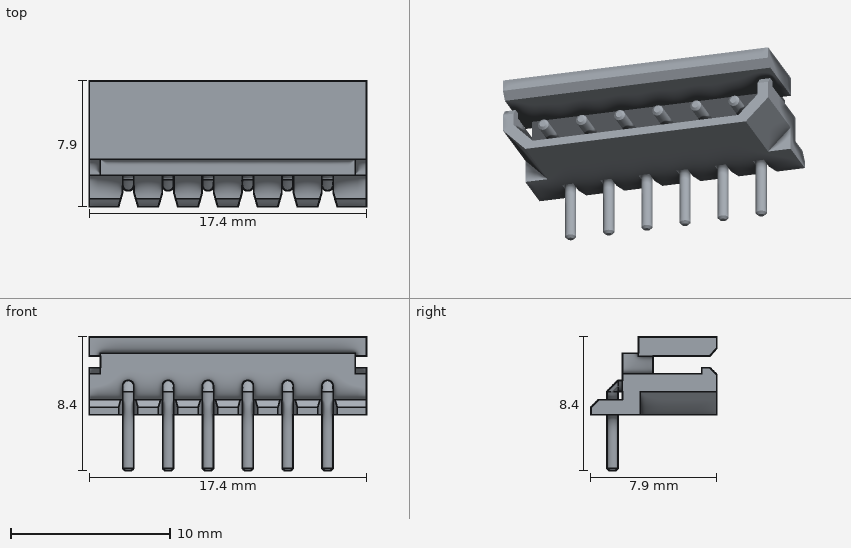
import cadquery as cq
import math


pin_count = 6
pitch = 2.5
pin_diameter = 0.7
pin_radius = pin_diameter / 2
pin_tip_chamfer = 0.15
pin_drop = 3.5
pin_tail_y = 1.35
pin_contact_z = 1.82
pin_setback = 0.5

end_margin = 2.45
width = (pin_count - 1) * pitch + 2 * end_margin
depth = 7.9
height = 4.9

wall_front_y = 1.97
foot_height = 0.97
foot_chamfer = 0.49
foot_slot_width = 0.72
foot_slot_mouth = 1.22
foot_slot_taper = 0.87

side_wall = 0.7
side_wall_top = 2.6
lip_top = 2.97
lip_length = 0.95
mouth_chamfer = 0.44

block_back_y = 3.9
block_top = 3.88
roof_front_y = 2.98
roof_bottom = 3.69
roof_chamfer_height = 0.5

floor_thickness = 0.5
corner_chamfer = 1.47
corner_chamfer_start_y = 3.08

pin_positions = [(i - (pin_count - 1) / 2) * pitch for i in range(pin_count)]


def extrude_side_profile(points):
    """Extrude a (Y, Z) outline over the full width of the shroud."""
    return cq.Workplane("YZ").polyline(points).close().extrude(width / 2, both=True)


def prism_along_y(points, start_y, end_y):
    """Extrude an (X, Z) outline between two Y positions."""
    plane = cq.Workplane("XZ", origin=(0, start_y, 0))
    return plane.polyline(points).close().extrude(start_y - end_y)


def make_base():
    """Lower shroud with feet, front wall and the catch lip at the mouth."""
    return extrude_side_profile([
        (0, 0),
        (0, foot_height - foot_chamfer),
        (foot_chamfer, foot_height),
        (wall_front_y, foot_height),
        (wall_front_y, side_wall_top),
        (depth - lip_length, side_wall_top),
        (depth - lip_length, lip_top),
        (depth - mouth_chamfer, lip_top),
        (depth, lip_top - mouth_chamfer),
        (depth, 0),
    ])


def make_block():
    """Upper part of the front wall, which carries the roof between the end slots."""
    block_width = width - 2 * side_wall
    block_depth = block_back_y - wall_front_y
    block = cq.Workplane("XY").box(
        block_width, block_depth, block_top - side_wall_top, centered=(True, False, False)
    )
    return block.translate((0, wall_front_y, side_wall_top))


def make_roof():
    """Roof slab with a lead-in chamfer under its mouth edge."""
    return extrude_side_profile([
        (roof_front_y, roof_bottom),
        (roof_front_y, height),
        (depth, height),
        (depth, roof_bottom + roof_chamfer_height),
        (depth - mouth_chamfer, roof_bottom),
    ])


def make_corner_cut(side):
    """Wedge that bevels one bottom corner of the shroud; side is -1 or +1."""
    outer_x = side * width / 2
    outline = [
        (outer_x, 0),
        (outer_x - side * corner_chamfer, 0),
        (outer_x, corner_chamfer),
    ]
    return prism_along_y(outline, corner_chamfer_start_y, depth)


def make_cavity():
    """Open-mouthed cavity whose bevelled bottom corners keep the side wall thickness."""
    half = width / 2 - side_wall
    bevel_sum = corner_chamfer + side_wall * math.sqrt(2)
    bevel_z = bevel_sum - side_wall
    bevel_x = width / 2 - (bevel_sum - floor_thickness)
    outline = [
        (-half, roof_bottom),
        (-half, bevel_z),
        (-bevel_x, floor_thickness),
        (bevel_x, floor_thickness),
        (half, bevel_z),
        (half, roof_bottom),
    ]
    return prism_along_y(outline, block_back_y, depth)


def make_foot_slot(x):
    """Slot between two feet, narrow around the pin and flared toward the front."""
    narrow = foot_slot_width / 2
    wide = foot_slot_mouth / 2
    outline = [
        (x - wide, 0),
        (x - narrow, foot_slot_taper),
        (x - narrow, wall_front_y),
        (x + narrow, wall_front_y),
        (x + narrow, foot_slot_taper),
        (x + wide, 0),
    ]
    return cq.Workplane("XY").polyline(outline).close().extrude(foot_height)


def make_pin(x):
    """Bent pin: vertical tail, oblique elbow and horizontal contact."""
    elbow_y = pin_tail_y + pin_radius
    elbow_z = pin_contact_z - pin_radius
    tail = cq.Workplane("XY", origin=(x, pin_tail_y, -pin_drop)).circle(pin_radius)
    tail = tail.extrude(pin_drop + elbow_z).faces("<Z").chamfer(pin_tip_chamfer)
    contact = cq.Workplane("XZ", origin=(x, elbow_y, pin_contact_z)).circle(pin_radius)
    contact = contact.extrude(elbow_y - (depth - pin_setback))
    contact = contact.faces(">Y").chamfer(pin_tip_chamfer)

    end_disc = cq.Wire.makeCircle(
        pin_radius, cq.Vector(x, pin_tail_y, elbow_z), cq.Vector(0, 0, 1)
    )
    oblique_bar = cq.Solid.extrudeLinear(end_disc, [], cq.Vector(0, pin_diameter, pin_diameter))
    elbow_space = cq.Workplane("XY").box(2 * pin_diameter, pin_diameter, pin_diameter)
    elbow_space = elbow_space.translate((x, pin_tail_y, pin_contact_z))
    elbow = elbow_space.intersect(cq.Workplane(oblique_bar))
    return tail.union(elbow).union(contact)


shroud = make_base().union(make_block())
for side in (-1, 1):
    shroud = shroud.cut(make_corner_cut(side))
shroud = shroud.union(make_roof()).cut(make_cavity())
for pin_x in pin_positions:
    shroud = shroud.cut(make_foot_slot(pin_x))

result = shroud
for pin_x in pin_positions:
    result = result.union(make_pin(pin_x))